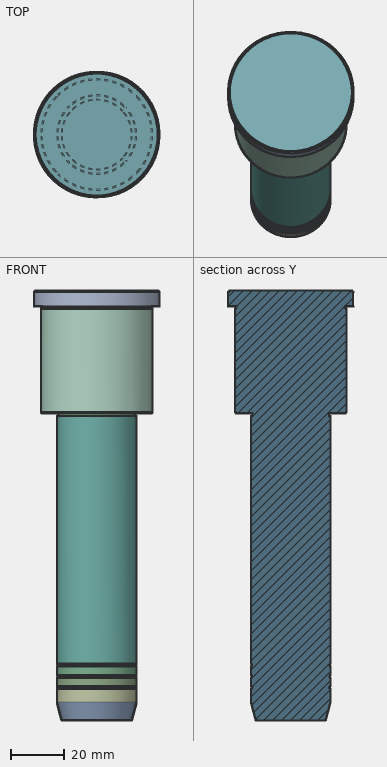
import cadquery as cq
import math

length = 161.0
flange_radius = 23.5
collar_radius = 21.0
shank_radius = 15.0

flange_height = 6.0
collar_depth = 46.0

flange_edge_break = 0.6
collar_edge_break = 0.5
neck_height = 0.5
relief_height = 1.0
relief_depth = 0.5

nose_height = 7.0
nose_angle = 14.0
nose_edge_break = 0.3

groove_count = 3
groove_width = 1.1
groove_depth = 0.5
first_groove_height = 12.4
groove_pitch = 4.2

flange_bottom = length - flange_height
collar_bottom = length - collar_depth
nose_radius = shank_radius - nose_height * math.tan(math.radians(nose_angle))


def cylinder(radius, bottom, top):
    return cq.Workplane("XY").workplane(offset=bottom).circle(radius).extrude(top - bottom)


def ring(outer_radius, depth, bottom, height):
    """Annular cutter that reaches depth into a cylinder of outer_radius."""
    return (
        cq.Workplane("XY")
        .workplane(offset=bottom)
        .circle(outer_radius + depth)
        .circle(outer_radius - depth)
        .extrude(height)
    )


def make_flange():
    return cylinder(flange_radius, flange_bottom, length).faces(">Z").edges().chamfer(flange_edge_break)


def v_ring(outer_radius, depth, center, width):
    """Triangular annular cutter with its tip pointing at the axis."""
    return (
        cq.Workplane("XZ")
        .moveTo(outer_radius, center - width / 2)
        .lineTo(outer_radius, center + width / 2)
        .lineTo(outer_radius - depth, center)
        .close()
        .revolve(360, (0, 0, 0), (0, 1, 0))
    )


def make_collar():
    """Collar with broken edges, on a short neck that joins it to the flange."""
    neck_bottom = flange_bottom - neck_height
    collar = cylinder(collar_radius, collar_bottom, neck_bottom)
    collar = collar.faces("<Z or >Z").edges().chamfer(collar_edge_break)
    neck = cylinder(collar_radius - collar_edge_break, neck_bottom, flange_bottom)
    return collar.union(neck)


def make_shank():
    """Grooved shank with a tapered lead-in and a relief under the collar."""
    shank = (
        cq.Workplane("XZ")
        .moveTo(0, collar_bottom)
        .lineTo(shank_radius, collar_bottom)
        .lineTo(shank_radius, nose_height)
        .lineTo(nose_radius, nose_edge_break)
        .lineTo(nose_radius - nose_edge_break, 0)
        .lineTo(0, 0)
        .close()
        .revolve(360, (0, 0, 0), (0, 1, 0))
    )
    shank = shank.cut(ring(shank_radius, relief_depth, collar_bottom - relief_height, relief_height))
    for index in range(groove_count):
        groove_center = first_groove_height + index * groove_pitch
        shank = shank.cut(v_ring(shank_radius, groove_depth, groove_center, groove_width))
    return shank


result = make_flange().union(make_collar()).union(make_shank())